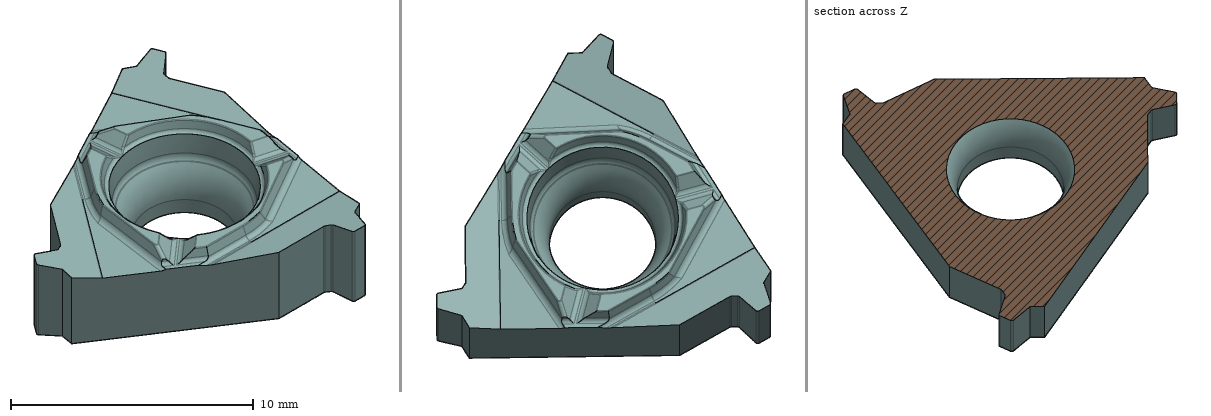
import cadquery as cq
import math

TOOTH_COUNT = 3
TOOTH_STEP = 360 / TOOTH_COUNT
SIDE_FACE_ANGLE = 180 - TOOTH_STEP

INSCRIBED_RADIUS = 9.525 / 2
TOP_Z = 4.1
LEDGE_Z = 3.6
FLOOR_Z = 3.53
OUTER_REACH = 10.0
CLEARANCE = 0.5
CUT_TOP_Z = TOP_Z + CLEARANCE

TIP_Y = 6.9
TIP_WIDTH = 0.655
TOOTH_X = -3.6475
FLANK_ANGLE = 14.5
TIP_RADIUS = 0.1
ROOT_RADIUS = 0.12
LEAD_Y = 5.571
SHOULDER_Y = 5.68
ROOT_ANGLE = 30
TRAIL_ROOT_X = -2.76

RAKE_Y = 4.277
RAKE_ANGLE = 10
RAKE_BLEND_RADIUS = 0.32

WALL_ANGLE = 23.5
SLANT_WALL_ANGLE = 27
FRONT_WALL = 3.755
SLANT_WALL = 3.61
SLANT_ANGLE = 122
ROUND_CORNER_SWEEP = 30
FLOOR_FOOT_RADIUS = 0.26
SLANT_FOOT_RADIUS = 0.32
SIDE_WALL = 4.235
SIDE_FOOT_RADIUS = 0.21
SIDE_WALL_START = -0.6
SIDE_WALL_END = 2.5

NOTCH_ANGLE = 165.4
NOTCH_BOTTOM_WIDTH = 0.1
NOTCH_WALL_ANGLE = 40
NOTCH_RADIUS = 0.32
NOTCH_INNER_RADIUS = 2.6
NOTCH_EDGE_RADIUS = 0.15
RING_EDGE_RADIUS = 0.1
TOP_EDGE_RADIUS = 0.05

HOLE_RADIUS = 4.4 / 2
MOUTH_RADIUS = 3.13
RING_FOOT_RADIUS = 0.2
RING_WALL_ANGLE = 21
BORE_RADIUS = 3.0
BORE_END_Z = 2.64
SEAT_ANGLE = 45
SEAT_TOP_RADIUS = 0.45
SEAT_TOROID_RADIUS = 2.2


def sin(angle):
    return math.sin(math.radians(angle))


def cos(angle):
    return math.cos(math.radians(angle))


def tan(angle):
    return math.tan(math.radians(angle))


def cut_each(body, cutter):
    """Cut the body with the cutter at each tooth."""
    for i in range(TOOTH_COUNT):
        body = body.cut(cutter.rotate((0, 0, 0), (0, 0, 1), i * TOOTH_STEP))
    return body


def rotated(point, angle):
    """The XY point turned about the axis."""
    x, y = point
    return (x * cos(angle) - y * sin(angle), x * sin(angle) + y * cos(angle))


def tooth_corners():
    """Corners of one third of the outline, clockwise, each with its rounding radius."""
    half_tip = TIP_WIDTH / 2
    flank_slope = tan(FLANK_ANGLE)
    slope_match = 1 - flank_slope * tan(ROOT_ANGLE)
    lead_gap = TOOTH_X - half_tip + INSCRIBED_RADIUS
    lead_drop = (TIP_Y - LEAD_Y - lead_gap * tan(ROOT_ANGLE)) / slope_match
    lead_root = (TOOTH_X - half_tip - lead_drop * flank_slope, TIP_Y - lead_drop)
    trail_gap = TRAIL_ROOT_X - TOOTH_X - half_tip
    trail_drop = (TIP_Y - SHOULDER_Y - trail_gap * tan(ROOT_ANGLE)) / slope_match
    trail_root = (TOOTH_X + half_tip + trail_drop * flank_slope, TIP_Y - trail_drop)
    shoulder_end_x = (INSCRIBED_RADIUS - SHOULDER_Y * sin(SIDE_FACE_ANGLE)) / cos(SIDE_FACE_ANGLE)
    return [
        ((-INSCRIBED_RADIUS, LEAD_Y), 0),
        (lead_root, 0),
        ((TOOTH_X - half_tip, TIP_Y), TIP_RADIUS),
        ((TOOTH_X + half_tip, TIP_Y), TIP_RADIUS),
        (trail_root, ROOT_RADIUS),
        ((TRAIL_ROOT_X, SHOULDER_Y), ROOT_RADIUS),
        ((shoulder_end_x, SHOULDER_Y), 0),
    ]


def make_blank():
    """Full-height prism of the outline, with the tooth corners rounded."""
    corners = []
    for i in range(TOOTH_COUNT):
        for point, radius in tooth_corners():
            corners.append((rotated(point, -i * TOOTH_STEP), radius))
    outline = cq.Workplane("XY").polyline([point for point, _ in corners]).close()
    blank = outline.extrude(TOP_Z)
    for (x, y), radius in corners:
        if radius > 0:
            edge = cq.selectors.NearestToPointSelector((x, y, TOP_Z / 2))
            blank = blank.edges("|Z").edges(edge).fillet(radius)
    return blank


def start_wall(plane, top_edge, base_z, foot_radius, direction=1, wall_angle=WALL_ANGLE):
    """Start a cutter profile: down a sloped wall and through its foot arc to level base_z.

    The wall moves away from top_edge along direction. Returns the open profile.
    """
    foot_angle = 90 - wall_angle
    arc_top_z = base_z + foot_radius * (1 - cos(foot_angle))
    arc_top = top_edge + direction * (TOP_Z - arc_top_z) * tan(wall_angle)
    foot_end = arc_top + direction * foot_radius * sin(foot_angle)
    arc_middle = (
        foot_end - direction * foot_radius * sin(foot_angle / 2),
        base_z + foot_radius * (1 - cos(foot_angle / 2)),
    )
    cut_top_edge = top_edge - direction * CLEARANCE * tan(wall_angle)
    return (
        cq.Workplane(plane)
        .moveTo(cut_top_edge, CUT_TOP_Z)
        .lineTo(arc_top, arc_top_z)
        .threePointArc(arc_middle, (foot_end, base_z))
    )


def cut_front_walls(body):
    """Front walls of the boss, the chip floor before them and the rake faces."""
    profile = start_wall("YZ", FRONT_WALL, FLOOR_Z, FLOOR_FOOT_RADIUS)
    blend_start = RAKE_Y - RAKE_BLEND_RADIUS * tan(RAKE_ANGLE / 2)
    blend_middle = (
        blend_start + RAKE_BLEND_RADIUS * sin(RAKE_ANGLE / 2),
        FLOOR_Z + RAKE_BLEND_RADIUS * (1 - cos(RAKE_ANGLE / 2)),
    )
    blend_end = (
        blend_start + RAKE_BLEND_RADIUS * sin(RAKE_ANGLE),
        FLOOR_Z + RAKE_BLEND_RADIUS * (1 - cos(RAKE_ANGLE)),
    )
    rake_end_y = TIP_Y + CLEARANCE
    cutter = (
        profile.lineTo(blend_start, FLOOR_Z)
        .threePointArc(blend_middle, blend_end)
        .lineTo(rake_end_y, FLOOR_Z + (rake_end_y - RAKE_Y) * tan(RAKE_ANGLE))
        .lineTo(rake_end_y, CUT_TOP_Z)
        .close()
        .extrude(OUTER_REACH, both=True)
    )
    return cut_each(body, cutter)


def below_rake(cutter):
    """The part of a cutter that stays clear of the rake face."""
    rake_zone = cq.Workplane("XY").box(
        2 * OUTER_REACH, OUTER_REACH, CUT_TOP_Z + CLEARANCE, centered=(True, False, False)
    )
    return cutter.cut(rake_zone.translate((0, RAKE_Y, 0)))


def cut_rounded_corners(body):
    """Round wall of the boss between each front wall and slanted wall."""
    profile = start_wall("XZ", FRONT_WALL, FLOOR_Z, FLOOR_FOOT_RADIUS)
    ring = (
        profile.lineTo(OUTER_REACH, FLOOR_Z)
        .lineTo(OUTER_REACH, CUT_TOP_Z)
        .close()
        .revolve(ROUND_CORNER_SWEEP, (0, 0, 0), (0, -1, 0))
    )
    ring = ring.rotate((0, 0, 0), (0, 0, 1), 90 + ROUND_CORNER_SWEEP)
    return cut_each(body, below_rake(ring))


def cut_slanted_walls(body):
    """Slanted walls of the boss, each from a rounded corner to a long side face."""
    profile = start_wall("XZ", SLANT_WALL, FLOOR_Z, SLANT_FOOT_RADIUS, wall_angle=SLANT_WALL_ANGLE)
    cutter = (
        profile.lineTo(OUTER_REACH, FLOOR_Z)
        .lineTo(OUTER_REACH, CUT_TOP_Z)
        .close()
        .extrude(OUTER_REACH, both=True)
        .rotate((0, 0, 0), (0, 0, 1), SLANT_ANGLE)
    )
    return cut_each(body, below_rake(cutter))


def cut_side_walls(body):
    """Set the boss back from the long side faces, leaving a narrow ledge."""
    profile = start_wall("XZ", -SIDE_WALL, LEDGE_Z, SIDE_FOOT_RADIUS, direction=-1)
    cutter = (
        profile.lineTo(-OUTER_REACH, LEDGE_Z)
        .lineTo(-OUTER_REACH, CUT_TOP_Z)
        .close()
        .extrude(-(SIDE_WALL_END - SIDE_WALL_START))
        .translate((0, SIDE_WALL_START, 0))
    )
    return cut_each(body, cutter)


def notch_wall_foot():
    """Half-width and height at which the notch radius meets the straight wall."""
    half_width = NOTCH_BOTTOM_WIDTH / 2 + NOTCH_RADIUS * sin(NOTCH_WALL_ANGLE)
    return half_width, LEDGE_Z + NOTCH_RADIUS * (1 - cos(NOTCH_WALL_ANGLE))


def cut_notches(body):
    """Radial V-notches with rounded flanks and a narrow flat bottom."""
    half_bottom = NOTCH_BOTTOM_WIDTH / 2
    arc_end, arc_end_z = notch_wall_foot()
    arc_middle = half_bottom + NOTCH_RADIUS * sin(NOTCH_WALL_ANGLE / 2)
    arc_middle_z = LEDGE_Z + NOTCH_RADIUS * (1 - cos(NOTCH_WALL_ANGLE / 2))
    top = arc_end + (CUT_TOP_Z - arc_end_z) / tan(NOTCH_WALL_ANGLE)
    cutter = (
        cq.Workplane("YZ")
        .moveTo(-half_bottom, LEDGE_Z)
        .lineTo(half_bottom, LEDGE_Z)
        .threePointArc((arc_middle, arc_middle_z), (arc_end, arc_end_z))
        .lineTo(top, CUT_TOP_Z)
        .lineTo(-top, CUT_TOP_Z)
        .lineTo(-arc_end, arc_end_z)
        .threePointArc((-arc_middle, arc_middle_z), (-half_bottom, LEDGE_Z))
        .close()
        .extrude(OUTER_REACH - NOTCH_INNER_RADIUS)
        .translate((NOTCH_INNER_RADIUS, 0, 0))
        .rotate((0, 0, 0), (0, 0, 1), NOTCH_ANGLE)
    )
    return cut_each(body, cutter)


def cut_hole(body):
    """Ring around the mouth, tapered bore, rounded screw seat and the through hole."""
    ring_drop = TOP_Z - LEDGE_Z - RING_FOOT_RADIUS * (1 - sin(RING_WALL_ANGLE))
    ring_top = MOUTH_RADIUS + RING_FOOT_RADIUS * cos(RING_WALL_ANGLE) + ring_drop * tan(RING_WALL_ANGLE)
    profile = start_wall(
        "XZ", ring_top, LEDGE_Z, RING_FOOT_RADIUS, direction=-1, wall_angle=RING_WALL_ANGLE
    )
    blend_end = (
        BORE_RADIUS - SEAT_TOP_RADIUS * (1 - cos(SEAT_ANGLE)),
        BORE_END_Z - SEAT_TOP_RADIUS * sin(SEAT_ANGLE),
    )
    blend_middle = (
        BORE_RADIUS - SEAT_TOP_RADIUS * (1 - cos(SEAT_ANGLE / 2)),
        BORE_END_Z - SEAT_TOP_RADIUS * sin(SEAT_ANGLE / 2),
    )
    flare_width = SEAT_TOROID_RADIUS * (1 - cos(SEAT_ANGLE))
    flare_top = (
        HOLE_RADIUS + flare_width,
        blend_end[1] - (blend_end[0] - HOLE_RADIUS - flare_width) / tan(SEAT_ANGLE),
    )
    flare_end_z = flare_top[1] - SEAT_TOROID_RADIUS * sin(SEAT_ANGLE)
    flare_middle = (
        HOLE_RADIUS + SEAT_TOROID_RADIUS * (1 - cos(SEAT_ANGLE / 2)),
        flare_end_z + SEAT_TOROID_RADIUS * sin(SEAT_ANGLE / 2),
    )
    cutter = (
        profile.lineTo(BORE_RADIUS, BORE_END_Z)
        .threePointArc(blend_middle, blend_end)
        .lineTo(*flare_top)
        .threePointArc(flare_middle, (HOLE_RADIUS, flare_end_z))
        .lineTo(HOLE_RADIUS, 0)
        .lineTo(0, 0)
        .lineTo(0, CUT_TOP_Z)
        .close()
        .revolve(360, (0, 0, 0), (0, 1, 0))
    )
    return body.cut(cutter)


def round_edge_near(body, point, radius):
    """Round the edge nearest to the point, and the matching edge at each tooth."""
    x, y, z = point
    for i in range(TOOTH_COUNT):
        place = (*rotated((x, y), i * TOOTH_STEP), z)
        body = body.edges(cq.selectors.NearestToPointSelector(place)).fillet(radius)
    return body


def notch_wall_point(distance, side):
    """Point halfway up a notch wall, at a distance along the notch; side is 1 or -1."""
    middle_z = (LEDGE_Z + TOP_Z) / 2
    arc_end, arc_end_z = notch_wall_foot()
    offset = arc_end + (middle_z - arc_end_z) / tan(NOTCH_WALL_ANGLE)
    x, y = rotated((distance, side * offset), NOTCH_ANGLE)
    return (x, y, middle_z)


def round_boss_edges(body):
    """Ease the edges of the notches and of the boss top."""
    body = round_edge_near(body, notch_wall_point(SIDE_WALL, -1), NOTCH_EDGE_RADIUS)
    for side in (1, -1):
        body = round_edge_near(body, notch_wall_point(MOUTH_RADIUS, side), RING_EDGE_RADIUS)
    return body.faces(">Z").edges().fillet(TOP_EDGE_RADIUS)


result = make_blank()
result = cut_front_walls(result)
result = cut_rounded_corners(result)
result = cut_slanted_walls(result)
result = cut_side_walls(result)
result = cut_notches(result)
result = cut_hole(result)
result = round_boss_edges(result)
result = cq.Workplane(result.solids().val())